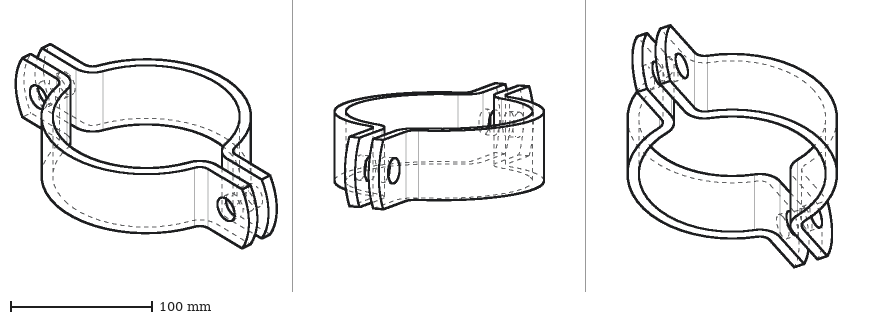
import cadquery as cq
import math

overall_length = 244.0
band_width = 50.0
thickness = 8.0
ring_outer_radius = 74.2
clamp_gap = 10.7
bend_radius = 8.0
hole_diameter = 18.0
hole_offset = 98.0
ear_end_rise = 7.0

half_length = overall_length / 2
half_width = band_width / 2
ring_inner_radius = ring_outer_radius - thickness
ear_inner_y = clamp_gap / 2
ear_outer_y = ear_inner_y + thickness

bend_center_distance = ring_outer_radius + bend_radius
bend_center_y = ear_outer_y + bend_radius
bend_center_x = math.sqrt(bend_center_distance**2 - bend_center_y**2)
bend_angle = math.atan2(bend_center_y, bend_center_x)


def ring_point(radius):
    """Point where the ring meets the right-hand bend, at the given ring radius."""
    return (radius * math.cos(bend_angle), radius * math.sin(bend_angle))


def bend_middle(radius):
    """Middle of the right-hand bend arc, at the given bend radius."""
    start_angle = math.pi + bend_angle
    end_angle = 1.5 * math.pi
    angle = (start_angle + end_angle) / 2
    return (
        bend_center_x + radius * math.cos(angle),
        bend_center_y + radius * math.sin(angle),
    )


def mirrored(point):
    """Mirror a point across the Y axis."""
    return (-point[0], point[1])


def make_strip():
    """Bent strip with square ends: ear, bend, ring arc, bend, ear."""
    outer_joint = ring_point(ring_outer_radius)
    inner_joint = ring_point(ring_inner_radius)
    outer_bend = bend_middle(bend_radius)
    inner_bend = bend_middle(bend_radius + thickness)
    return (
        cq.Workplane("XY")
        .workplane(offset=-half_width)
        .moveTo(half_length, ear_outer_y)
        .lineTo(bend_center_x, ear_outer_y)
        .threePointArc(outer_bend, outer_joint)
        .threePointArc((0, ring_outer_radius), mirrored(outer_joint))
        .threePointArc(mirrored(outer_bend), (-bend_center_x, ear_outer_y))
        .lineTo(-half_length, ear_outer_y)
        .lineTo(-half_length, ear_inner_y)
        .lineTo(-bend_center_x, ear_inner_y)
        .threePointArc(mirrored(inner_bend), mirrored(inner_joint))
        .threePointArc((0, ring_inner_radius), inner_joint)
        .threePointArc(inner_bend, (bend_center_x, ear_inner_y))
        .lineTo(half_length, ear_inner_y)
        .close()
        .extrude(band_width)
    )


def make_ear_end_envelope():
    """Block with arched ends that rounds the ears when intersected with the strip."""
    corner_x = half_length - ear_end_rise
    return (
        cq.Workplane("XZ")
        .moveTo(-corner_x, -half_width)
        .lineTo(corner_x, -half_width)
        .threePointArc((half_length, 0), (corner_x, half_width))
        .lineTo(-corner_x, half_width)
        .threePointArc((-half_length, 0), (-corner_x, -half_width))
        .close()
        .extrude(-ring_outer_radius)
    )


def make_bolt_holes():
    """Cutters for the bolt hole through each ear."""
    return (
        cq.Workplane("XZ")
        .pushPoints([(-hole_offset, 0), (hole_offset, 0)])
        .circle(hole_diameter / 2)
        .extrude(-ear_outer_y)
    )


def make_clamp_half(turn):
    """One clamp half, turned about the clamp axis by the given angle in degrees."""
    half = make_strip().intersect(make_ear_end_envelope()).cut(make_bolt_holes())
    return half.rotate((0, 0, 0), (0, 0, 1), turn)


clamp_halves = [make_clamp_half(turn).val() for turn in (0, 180)]

result = cq.Compound.makeCompound([*clamp_halves])